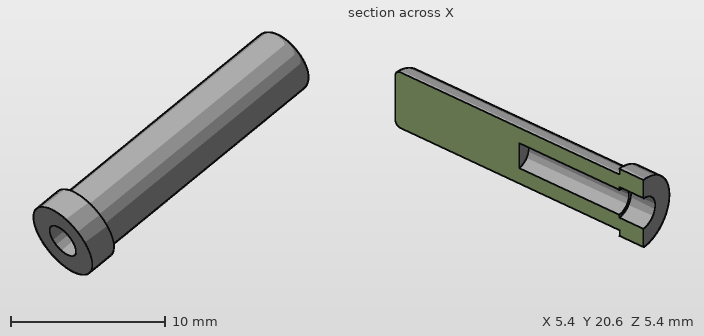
import cadquery as cq

total_length = 20.6
head_diameter = 5.4
head_length = 2.0
shank_diameter = 4.5
tip_fillet = 0.5

bore_diameter = 2.4
inner_bore_diameter = 1.95
bore_depth = head_length
inner_bore_depth = total_length / 2


def cylinder_along_y(diameter, length):
    """Cylinder on the Y axis, running from the head face toward +Y."""
    return cq.Workplane("XZ").circle(diameter / 2).extrude(-length)


shank = cylinder_along_y(shank_diameter, total_length).faces(">Y").edges().fillet(tip_fillet)
head = cylinder_along_y(head_diameter, head_length)
bore = cylinder_along_y(bore_diameter, bore_depth)
inner_bore = cylinder_along_y(inner_bore_diameter, inner_bore_depth)

result = shank.union(head).cut(bore).cut(inner_bore)